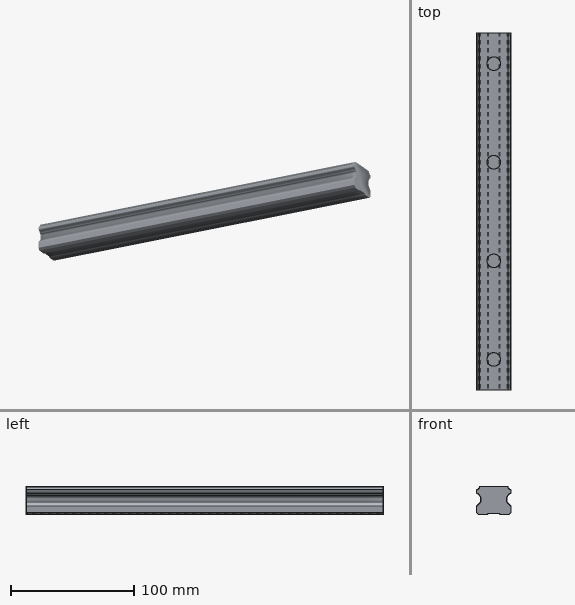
import cadquery as cq
import math

LENGTH = 290.0
WIDTH = 28.0
HEIGHT = 23.0
HALF_WIDTH = WIDTH / 2

HEAD_MIDDLE = 18.8
HEAD_HALF_LAND = 1.02
TOP_HALF_WIDTH = 11.5
RACE_MARGIN = 0.5
RACE_OUTER_HALF_WIDTH = HALF_WIDTH - RACE_MARGIN
RACE_DEPTH = 0.3

WAIST_HALF_WIDTH = 10.7
FOOT_HEIGHT = 7.0
BASE_CHAMFER = 1.8
CORNER_RADIUS = 1.2
FLANK_RUN = HALF_WIDTH - WAIST_HALF_WIDTH

RELIEF_HALF_WIDTH = 5.2
RELIEF_DEPTH = 1.0
RELIEF_SLOPE_RUN = 1.0

CAP_COUNT = 4
CAP_PITCH = 80.0
CAP_DIAMETER = 11.0
CAP_RECESS = 0.15

ROUNDED_CORNERS = [
    (HALF_WIDTH, FOOT_HEIGHT),
    (WAIST_HALF_WIDTH, FOOT_HEIGHT + FLANK_RUN),
    (WAIST_HALF_WIDTH, HEAD_MIDDLE - HEAD_HALF_LAND - FLANK_RUN),
    (HALF_WIDTH, HEAD_MIDDLE - HEAD_HALF_LAND),
    (HALF_WIDTH, HEAD_MIDDLE + HEAD_HALF_LAND),
]


def race_points(direction):
    """Outer end, middle and inner end of the race above (+1) or below (-1) the head middle."""
    def flank_height(x):
        return HEAD_HALF_LAND + HALF_WIDTH - x

    inset = RACE_DEPTH * math.sqrt(0.5)
    middle_x = (TOP_HALF_WIDTH + RACE_OUTER_HALF_WIDTH) / 2
    points = [
        (RACE_OUTER_HALF_WIDTH, flank_height(RACE_OUTER_HALF_WIDTH)),
        (middle_x - inset, flank_height(middle_x) - inset),
        (TOP_HALF_WIDTH, flank_height(TOP_HALF_WIDTH)),
    ]
    return [(x, HEAD_MIDDLE + direction * z) for x, z in points]


def half_rail():
    """Right half of the rail, extruded along Y and centred on the XZ plane."""
    foot, waist_low, waist_high, head_low, head_high = ROUNDED_CORNERS
    lower_outer, lower_middle, lower_inner = race_points(-1)
    upper_outer, upper_middle, upper_inner = race_points(1)
    section = (
        cq.Workplane("XZ")
        .moveTo(0, RELIEF_DEPTH)
        .lineTo(RELIEF_HALF_WIDTH - RELIEF_SLOPE_RUN, RELIEF_DEPTH)
        .lineTo(RELIEF_HALF_WIDTH, 0)
        .lineTo(HALF_WIDTH - BASE_CHAMFER, 0)
        .lineTo(HALF_WIDTH, BASE_CHAMFER)
        .lineTo(*foot)
        .lineTo(*waist_low)
        .lineTo(*waist_high)
        .lineTo(*lower_inner)
        .threePointArc(lower_middle, lower_outer)
        .lineTo(*head_low)
        .lineTo(*head_high)
        .lineTo(*upper_outer)
        .threePointArc(upper_middle, upper_inner)
        .lineTo(TOP_HALF_WIDTH, HEIGHT)
        .lineTo(0, HEIGHT)
        .close()
    )
    half = section.extrude(LENGTH / 2, both=True)
    for x, z in ROUNDED_CORNERS:
        corner = cq.selectors.NearestToPointSelector((x, 0, z))
        half = half.edges("|Y").edges(corner).fillet(CORNER_RADIUS)
    return half


def cap_recesses():
    """Shallow discs left above the hole caps, in one row along the rail."""
    return (
        cq.Workplane("XY", origin=(0, 0, HEIGHT - CAP_RECESS))
        .rarray(3, CAP_PITCH, 1, CAP_COUNT)
        .circle(CAP_DIAMETER / 2)
        .extrude(CAP_RECESS)
    )


right_half = half_rail()
rail = right_half.union(right_half.mirror("YZ"))
result = rail.cut(cap_recesses())